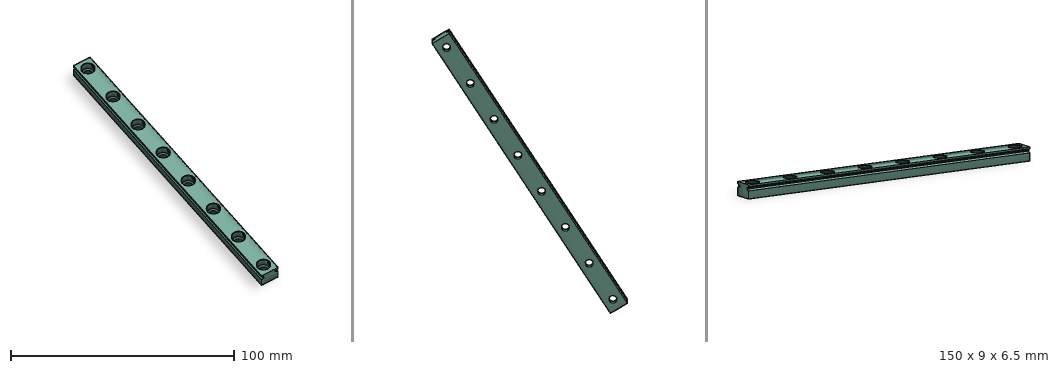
import cadquery as cq

length = 150.0
width = 9.0
height = 6.5

hole_count = 8
hole_pitch = 20.0
hole_diameter = 3.5
counterbore_diameter = 6.0
counterbore_depth = 3.5
edge_break = 0.2

groove_drop = 1.8
groove_opening = 1.9
groove_depth = 0.9
relief_height = 0.5
relief_depth = 1.4


def make_bar():
    return cq.Workplane("XY").box(length, width, height, centered=(True, True, False))


def make_raceway(side):
    """Cutter for the raceway on the +Y (side = 1) or -Y (side = -1) face."""
    face_y = side * width / 2
    profile = cq.Workplane("YZ", origin=(-length / 2, face_y, height - groove_drop))
    ball_groove = (
        profile.moveTo(0, groove_opening / 2)
        .threePointArc((-side * groove_depth, 0), (0, -groove_opening / 2))
        .close()
        .extrude(length)
    )
    relief_slot = (
        profile.center(-side * relief_depth / 2, 0)
        .rect(relief_depth, relief_height)
        .extrude(length)
    )
    return ball_groove.union(relief_slot)


def drill_mounting_holes(body):
    """Counterbored holes in one row along X, with the counterbore rims chamfered."""
    top = cq.Workplane("XY", origin=(0, 0, height))
    drilled = (
        body.copyWorkplane(top)
        .rarray(hole_pitch, 1, hole_count, 1)
        .cboreHole(hole_diameter, counterbore_diameter, counterbore_depth)
    )
    return drilled.faces(">Z").edges("%CIRCLE").chamfer(edge_break)


rail = make_bar()
for side in (1, -1):
    rail = rail.cut(make_raceway(side))
result = drill_mounting_holes(rail)